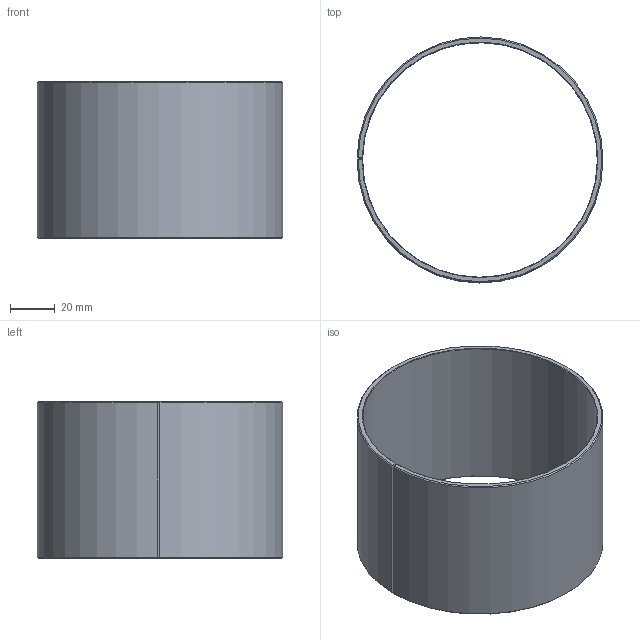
import cadquery as cq

OUTER_DIAMETER = 110.0
WALL_THICKNESS = 2.5
LENGTH = 70.0
OUTER_CHAMFER = 0.5
INNER_CHAMFER = 0.2
SLIT_ANGLE = 1.0

OUTER_RADIUS = OUTER_DIAMETER / 2
INNER_RADIUS = OUTER_RADIUS - WALL_THICKNESS
HALF_LENGTH = LENGTH / 2
FULL_TURN = 360.0


def make_wall_section():
    """Wall cross-section on the -X side of the XZ plane, with chamfered end edges."""
    chamfer_start = HALF_LENGTH - OUTER_CHAMFER
    bore_start = HALF_LENGTH - INNER_CHAMFER
    rim_outer = OUTER_RADIUS - OUTER_CHAMFER
    rim_inner = INNER_RADIUS + INNER_CHAMFER
    return (
        cq.Workplane("XZ")
        .moveTo(-OUTER_RADIUS, -chamfer_start)
        .lineTo(-OUTER_RADIUS, chamfer_start)
        .lineTo(-rim_outer, HALF_LENGTH)
        .lineTo(-rim_inner, HALF_LENGTH)
        .lineTo(-INNER_RADIUS, bore_start)
        .lineTo(-INNER_RADIUS, -bore_start)
        .lineTo(-rim_inner, -HALF_LENGTH)
        .lineTo(-rim_outer, -HALF_LENGTH)
        .close()
    )


def make_split_sleeve():
    """Sweep the wall counter-clockwise about Z, stopping short to leave the slit just on the +Y side of -X."""
    return make_wall_section().revolve(FULL_TURN - SLIT_ANGLE, (0, 0, 0), (0, 1, 0))


result = make_split_sleeve()